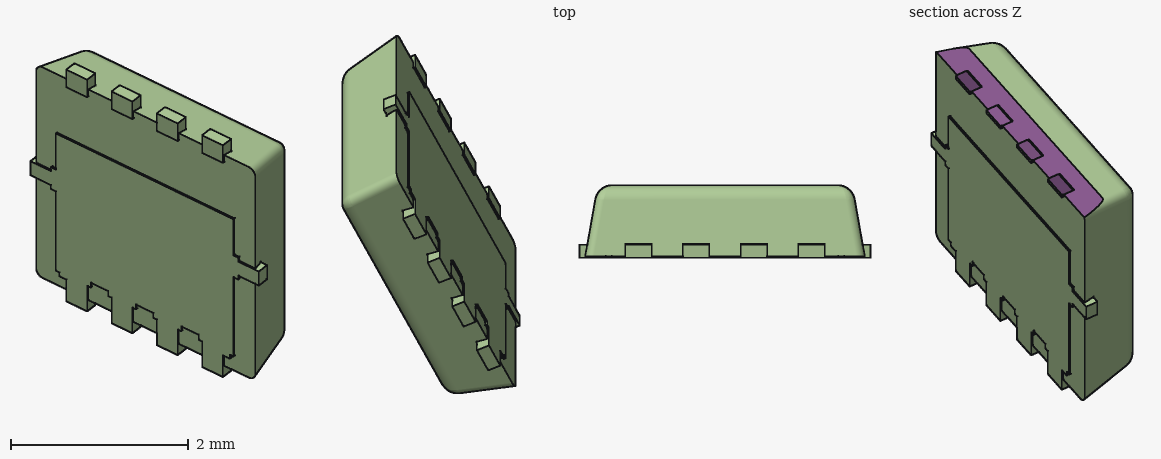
import cadquery as cq

BODY_WIDTH = 3.15
BODY_LENGTH = 3.0
BODY_DEPTH = 0.80
DRAFT_ANGLE = 10.0
TOP_FILLET = 0.20
SIDE_FILLET = 0.10

METAL_THICKNESS = 0.15
STANDOFF = 0.02

RECESS_CLEARANCE = 0.01

LEAD_COUNT = 4
LEAD_PITCH = 0.65
LEAD_WIDTH = 0.30
LEAD_OVERHANG = 0.15
LEAD_LENGTH = 0.25

PAD_WIDTH = 2.55
PAD_TOP = 0.67
PAD_BOTTOM = -1.285

TIE_BAR_SPAN = 3.28
TIE_BAR_WIDTH = 0.20
SHOULDER_REACH = 0.07
SHOULDER_WIDTH = 0.31

STEP_WIDTH = 0.05
CORNER_STEP_DROP = 0.055
NOTCH_RISE = 0.07

LEAD_TIP = BODY_LENGTH / 2 + LEAD_OVERHANG
LEAD_CENTRES = [(i - (LEAD_COUNT - 1) / 2) * LEAD_PITCH for i in range(LEAD_COUNT)]
NOTCH_CENTRES = [(a + b) / 2 for a, b in zip(LEAD_CENTRES, LEAD_CENTRES[1:])]
NOTCH_WIDTH = LEAD_PITCH - LEAD_WIDTH - 2 * STEP_WIDTH


def metal_plate(x_centre, width, z_low, z_high):
    """Rectangular plate of the metal thickness, with its underside at Y = 0."""
    plate = cq.Workplane("XY").box(width, METAL_THICKNESS, z_high - z_low, centered=(True, False, False))
    return plate.translate((x_centre, 0, z_low))


def make_lead(x_centre):
    """One separate lead on the +Z edge."""
    return metal_plate(x_centre, LEAD_WIDTH, LEAD_TIP - LEAD_LENGTH, LEAD_TIP)


def make_pad():
    """Exposed pad with its tie bars and the leads of the -Z edge, in one piece."""
    pad = metal_plate(0, PAD_WIDTH, PAD_BOTTOM, PAD_TOP)

    pad = pad.union(metal_plate(0, TIE_BAR_SPAN, -TIE_BAR_WIDTH / 2, TIE_BAR_WIDTH / 2))
    shoulder_span = PAD_WIDTH + 2 * SHOULDER_REACH
    pad = pad.union(metal_plate(0, shoulder_span, -SHOULDER_WIDTH / 2, SHOULDER_WIDTH / 2))

    for x_centre in NOTCH_CENTRES:
        pad = pad.cut(metal_plate(x_centre, NOTCH_WIDTH, PAD_BOTTOM, PAD_BOTTOM + NOTCH_RISE))

    for x_centre in LEAD_CENTRES:
        pad = pad.union(metal_plate(x_centre, LEAD_WIDTH, -LEAD_TIP, PAD_BOTTOM + NOTCH_RISE))

    step_edge = PAD_WIDTH / 2 - STEP_WIDTH
    step_width = step_edge - LEAD_CENTRES[-1]
    for side in (-1, 1):
        step_centre = side * (step_edge - step_width / 2)
        pad = pad.union(metal_plate(step_centre, step_width, PAD_BOTTOM - CORNER_STEP_DROP, PAD_BOTTOM))
    return pad


def make_body(metal_parts):
    """Drafted, rounded block with a matching recess for every metal part."""
    block = (
        cq.Workplane("XZ", origin=(0, STANDOFF, 0))
        .rect(BODY_WIDTH, BODY_LENGTH)
        .extrude(-BODY_DEPTH, taper=DRAFT_ANGLE)
    )
    block = block.faces(">Y").edges().fillet(TOP_FILLET)
    block = block.edges("%LINE").edges("not #Y").fillet(SIDE_FILLET)
    for part in metal_parts:
        block = block.cut(part)
        block = block.cut(part.translate((0, RECESS_CLEARANCE, 0)))
    return block


leads = [make_lead(x_centre) for x_centre in LEAD_CENTRES]
pad = make_pad()
body = make_body([pad, *leads])

result = cq.Compound.makeCompound([body.val(), pad.val(), *[lead.val() for lead in leads]])